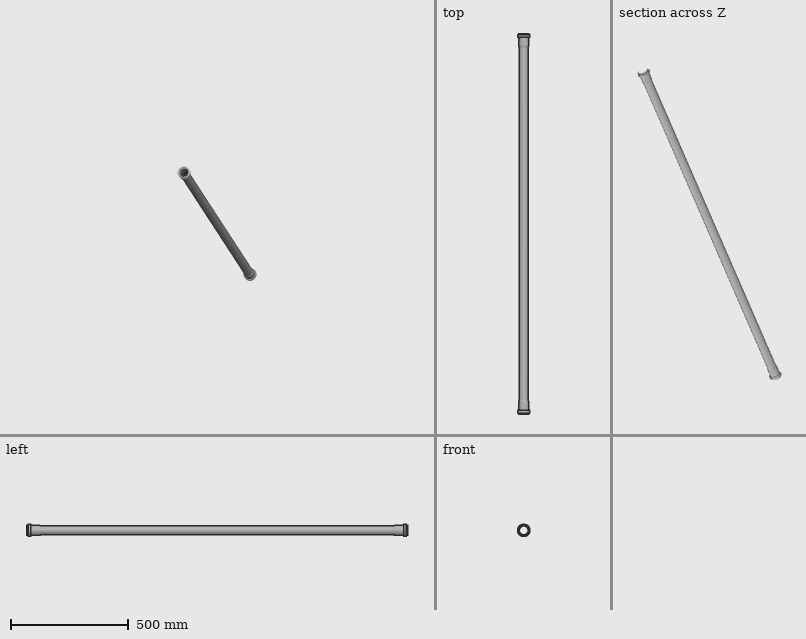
import cadquery as cq

total_length = 1620.0
tube_length = 1499.0
tube_diameter = 40.2
tube_bore = 36.2

socket_wall = 1.9
lip_diameter = 44.6
lip_length = 5.0
collar_diameter = 54.1
collar_length = 13.5
sleeve_diameter = 44.9
sleeve_end = 52.0

socket_length = (total_length - tube_length) / 2
collar_end = lip_length + collar_length
groove_start = lip_length + socket_wall
groove_end = collar_end - socket_wall


def bore_of(outer_diameter):
    """Inside diameter of a socket section."""
    return outer_diameter - 2 * socket_wall


def circle_at(diameter, distance):
    """Circle around the axis, at a distance from the -Y mouth."""
    origin = (0, distance - total_length / 2, 0)
    plane = cq.Plane(origin, xDir=(1, 0, 0), normal=(0, 1, 0))
    return cq.Workplane(plane).circle(diameter / 2)


def cylinder(diameter, start, end):
    """Cylinder between two distances from the -Y mouth."""
    return circle_at(diameter, start).extrude(end - start)


def neck(sleeve_side_diameter, tube_side_diameter):
    """Taper from the sleeve down to the tube at the -Y end."""
    sleeve_circle = circle_at(sleeve_side_diameter, sleeve_end)
    tube_plane = sleeve_circle.workplane(offset=socket_length - sleeve_end)
    return tube_plane.circle(tube_side_diameter / 2).loft()


def socket_outside():
    """Lip, rounded collar, sleeve and tapered neck as one solid body."""
    lip = cylinder(lip_diameter, 0, lip_length)
    collar = cylinder(collar_diameter, lip_length, collar_end).edges("%CIRCLE").fillet(socket_wall)
    sleeve = cylinder(sleeve_diameter, lip_length, sleeve_end)
    return lip.union(collar).union(sleeve).union(neck(sleeve_diameter, tube_diameter))


def socket_cavity():
    """Space inside the socket, with a groove inside the collar."""
    mouth = cylinder(bore_of(lip_diameter), 0, groove_start)
    groove = cylinder(bore_of(collar_diameter), groove_start, groove_end)
    sleeve_bore = cylinder(bore_of(sleeve_diameter), groove_end, sleeve_end)
    return mouth.union(groove).union(sleeve_bore).union(neck(bore_of(sleeve_diameter), tube_bore))


def tube():
    """Plain tube between the two sockets."""
    tube_end = total_length - socket_length
    outside = cylinder(tube_diameter, socket_length, tube_end)
    return outside.cut(cylinder(tube_bore, socket_length, tube_end))


socket = socket_outside().cut(socket_cavity())

result = tube().union(socket).union(socket.mirror("XZ"))